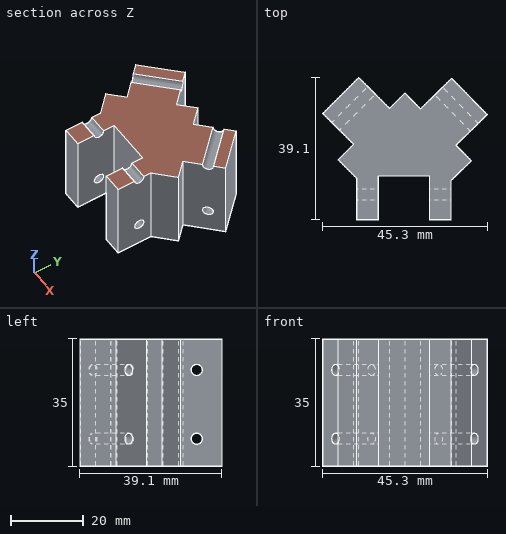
import cadquery as cq
import math

HEIGHT = 35.0
SHOULDER = 6.0
TONGUE_WIDTH = 14.0
TONGUE_LENGTH = 12.0
BASE_WIDTH = TONGUE_WIDTH + 2 * SHOULDER

PIN_DIAMETER = 3.0
PIN_INSET = 5.0
PIN_LOWER_Z = 7.6
PIN_SPACING = 18.9

LEFT_ANGLE = 135.0
RIGHT_ANGLE = 44.4

LEFT_APEX = (0.3, 34.89)
RIGHT_APEX = (0.36, 34.82)


def branch_point(apex, angle, side, across, along):
    """Point 'across' the tongue base from its apex and 'along' the tongue direction.

    side is +1 where the base runs to the left of the tongue direction, -1 to the right.
    """
    tongue = math.radians(angle)
    base = tongue + side * math.pi / 2
    x = apex[0] + across * math.cos(base) + along * math.cos(tongue)
    y = apex[1] + across * math.sin(base) + along * math.sin(tongue)
    return (x, y)


def left_point(across, along):
    return branch_point(LEFT_APEX, LEFT_ANGLE, 1, across, along)


def right_point(across, along):
    return branch_point(RIGHT_APEX, RIGHT_ANGLE, -1, across, along)


def point_at_x(start, angle, x):
    """Point with the given X on the line through start at the given angle."""
    return (x, start[1] + (x - start[0]) * math.tan(math.radians(angle)))


def tongue_outline(point):
    """Outline of one tongue, from the step next to the apex to the far base corner."""
    far_side = SHOULDER + TONGUE_WIDTH
    return [
        point(SHOULDER, 0),
        point(SHOULDER, TONGUE_LENGTH),
        point(far_side, TONGUE_LENGTH),
        point(far_side, 0),
        point(BASE_WIDTH, 0),
    ]


def body():
    slot_half = TONGUE_WIDTH / 2
    leg_outer = BASE_WIDTH / 2
    left_side = tongue_outline(left_point)
    right_side = tongue_outline(right_point)
    left_leg_top = point_at_x(left_side[-1], LEFT_ANGLE, -leg_outer)
    right_leg_top = point_at_x(right_side[-1], RIGHT_ANGLE, leg_outer)
    socket = [
        right_leg_top,
        (leg_outer, 0),
        (slot_half, 0),
        (slot_half, TONGUE_LENGTH),
        (-slot_half, TONGUE_LENGTH),
        (-slot_half, 0),
        (-leg_outer, 0),
        left_leg_top,
    ]
    outline = [LEFT_APEX] + right_side + socket + left_side[::-1]
    return cq.Workplane("XY").polyline(outline).close().extrude(HEIGHT)


def pin_holes(start, end):
    """Two pins, one above the other, running horizontally from start to end."""
    run = cq.Vector(end[0] - start[0], end[1] - start[1], 0)
    pins = cq.Workplane("XY")
    for z in (PIN_LOWER_Z, PIN_LOWER_Z + PIN_SPACING):
        origin = cq.Vector(start[0], start[1], z)
        pins = pins.add(cq.Solid.makeCylinder(PIN_DIAMETER / 2, run.Length, origin, run))
    return pins.combine()


def tongue_pin_holes(point):
    pin_along = TONGUE_LENGTH - PIN_INSET
    return pin_holes(point(0, pin_along), point(BASE_WIDTH, pin_along))


def socket_pin_holes():
    pin_y = TONGUE_LENGTH - PIN_INSET
    return pin_holes((-BASE_WIDTH, pin_y), (BASE_WIDTH, pin_y))


result = (
    body()
    .cut(tongue_pin_holes(left_point))
    .cut(tongue_pin_holes(right_point))
    .cut(socket_pin_holes())
)